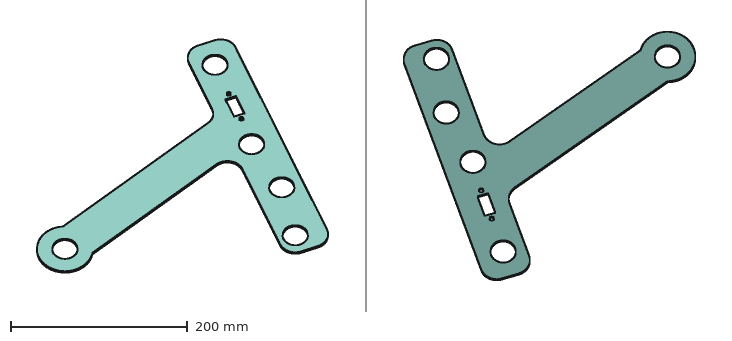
import cadquery as cq
import math

thickness = 3.2
overall_height = 317.7
bar_length = 314.8
bar_width = 57.2
corner_radius = 18.5

arm_width = 50.2
tilt = math.radians(20.0)
inner_fillet_radius = 18.5
eye_radius = 31.8
eye_x = 212.0
eye_y = eye_radius - overall_height

hole_diameter = 28.5
bar_hole_centers = [(32.5, -30.8), (152.5, -34.3), (222.0, -25.5), (291.0, -36.5)]
hole_centers = bar_hole_centers + [(eye_x, eye_y)]

window_length = 26.5
window_width = 12.7
window_x = 95.5
window_y = -31.8
screw_hole_diameter = 5.0
screw_spacing = 38.0


def make_crossbar():
    bar = cq.Workplane("XY").box(bar_length, bar_width, thickness, centered=False)
    return bar.translate((0, -bar_width, 0)).edges("|Z").fillet(corner_radius)


def make_arm():
    """Tilted strip running from the middle of the crossbar to the eye center."""
    top_y = -bar_width / 2
    top_x = eye_x + (eye_y - top_y) * math.tan(tilt)
    half_span = arm_width / (2 * math.cos(tilt))
    end_dx = arm_width / 2 * math.cos(tilt)
    end_dy = arm_width / 2 * math.sin(tilt)
    outline = [
        (top_x - half_span, top_y),
        (top_x + half_span, top_y),
        (eye_x + end_dx, eye_y + end_dy),
        (eye_x - end_dx, eye_y - end_dy),
    ]
    return cq.Workplane("XY").polyline(outline).close().extrude(thickness)


def make_plate():
    """Crossbar and arm with rounded inner corners, joined to the eye."""
    tee = make_crossbar().union(make_arm())
    arm_center_x = eye_x + (eye_y + bar_width) * math.tan(tilt)
    corner_zone = cq.selectors.BoxSelector(
        (arm_center_x - arm_width, -bar_width - thickness, -thickness),
        (arm_center_x + arm_width, -bar_width + thickness, 2 * thickness),
    )
    tee = tee.edges("|Z").edges(corner_zone).fillet(inner_fillet_radius)
    eye = cq.Workplane("XY").center(eye_x, eye_y).circle(eye_radius).extrude(thickness)
    return tee.union(eye)


def cut_large_holes(plate):
    holes = cq.Workplane("XY").pushPoints(hole_centers).circle(hole_diameter / 2).extrude(thickness)
    return plate.cut(holes)


def cut_window(plate):
    center = cq.Workplane("XY").center(window_x, window_y)
    window = center.rect(window_length, window_width).extrude(thickness)
    plate = plate.cut(window)
    for side in (-1, 1):
        screw_x = window_x + side * screw_spacing / 2
        screw_axis = cq.Workplane("XY").center(screw_x, window_y)
        plate = plate.cut(screw_axis.circle(screw_hole_diameter / 2).extrude(thickness))
    return plate


result = cut_window(cut_large_holes(make_plate()))